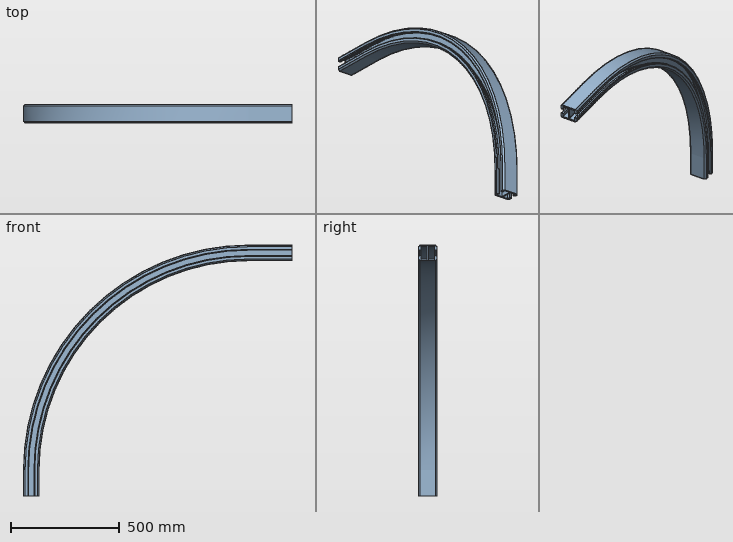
import cadquery as cq

length = 1235.0
height = 1155.0
depth = 85.0
top_leg = 200.0
outer_radius = length - top_leg
bottom_leg = height - outer_radius

rail_width = 72.0
edge_chamfer = 7.0
mouth_chamfer = 4.0
throat_width = 25.0
lip_thickness = 12.0
cavity_width = 57.0
web_thickness = 5.0


def rail_section():
    """Closed outline of the slotted bar at the foot of the vertical leg."""
    middle = rail_width / 2
    face = depth / 2
    throat = throat_width / 2
    cavity = cavity_width / 2
    lip_back = face - lip_thickness
    quarter = [
        (middle, face - edge_chamfer),
        (middle - edge_chamfer, face),
        (throat + mouth_chamfer, face),
        (throat, face - mouth_chamfer),
        (throat, lip_back),
        (cavity, lip_back),
        (cavity, web_thickness / 2),
    ]
    back_half = quarter + [(-x, y) for x, y in reversed(quarter)]
    outline = back_half + [(x, -y) for x, y in reversed(back_half)]
    return cq.Workplane("XY").center(middle, 0).polyline(outline).close()


def rail_path():
    """Centre line: up the short leg, round a quarter circle, along the top leg."""
    middle = rail_width / 2
    bend_radius = outer_radius - middle
    return (
        cq.Workplane("XZ")
        .moveTo(middle, 0)
        .lineTo(middle, bottom_leg)
        .radiusArc((outer_radius, bottom_leg + bend_radius), bend_radius)
        .lineTo(length, height - middle)
    )


result = rail_section().sweep(rail_path())